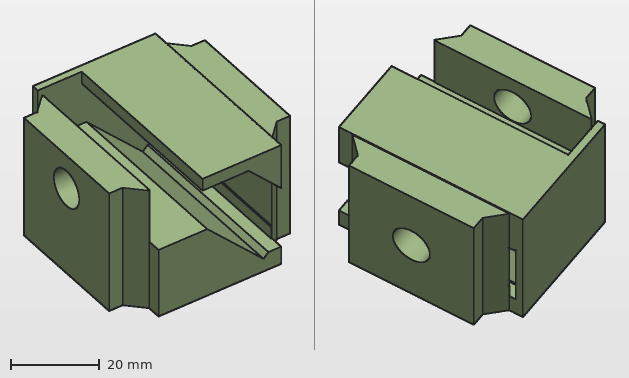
import cadquery as cq

length = 49.8
depth = 33.75
height = 34.1
half_depth = depth / 2

flange_reach = 24.9
flange_height = 33.75
flange_base_half = 21.2
flange_tip_half = 16.9
flange_chamfer = flange_base_half - flange_tip_half
flange_overlap = 0.2

end_wall = 2
sill_height = 19.1
sill_back = -3.5
ceiling = 30.75
plate_front = -4.8
channel_exit_top = 21.75
shelf_height = 5
shelf_front = 13.35

hole_diameter = 10.0
front_hole_height = 24.35
back_hole_height = flange_height / 2


def along_x(points):
    """Extrude a (Y, Z) outline from the end wall out through the +X face."""
    profile = cq.Workplane("YZ", origin=(end_wall - length / 2, 0, 0)).polyline(points).close()
    return profile.extrude(length - end_wall)


def channel():
    """Space below the 45 degree roof and above the 45 degree sill and end slopes."""
    slope_sum = sill_back + sill_height
    end_offset = shelf_front - shelf_height
    bottom_y = (slope_sum + end_offset) / 2
    roof_start = half_depth - (ceiling - channel_exit_top)
    return along_x([
        (-half_depth, sill_height),
        (sill_back, sill_height),
        (bottom_y, slope_sum - bottom_y),
        (half_depth, half_depth - end_offset),
        (half_depth, channel_exit_top),
        (roof_start, ceiling),
        (plate_front, ceiling),
        (plate_front, height),
        (-half_depth, height),
    ])


def shelf_notch():
    """Wedge between the end slope and the flat shelf at the back."""
    rise = half_depth - shelf_front
    return along_x([
        (shelf_front, shelf_height),
        (half_depth, shelf_height),
        (half_depth, shelf_height + rise),
    ])


def back_flange():
    shoulder = half_depth + flange_chamfer
    right_side = [
        (flange_base_half, half_depth - flange_overlap),
        (flange_base_half, half_depth),
        (flange_tip_half, shoulder),
        (flange_tip_half, flange_reach),
    ]
    left_side = [(-x, y) for x, y in reversed(right_side)]
    return cq.Workplane("XY").polyline(right_side + left_side).close().extrude(flange_height)


def flange_hole(side, centre_height):
    """Bore through one flange; side is -1 for the front and 1 for the back."""
    bore_length = flange_reach - half_depth + flange_overlap
    bore = cq.Workplane("XZ", origin=(0, side * flange_reach, centre_height)).circle(hole_diameter / 2)
    return bore.extrude(side * bore_length)


body = cq.Workplane("XY").box(length, depth, height, centered=(True, True, False))
body = body.cut(channel()).cut(shelf_notch())
rear = back_flange().cut(channel())
front = back_flange().mirror("XZ")
result = body.union(rear).union(front)
result = result.cut(flange_hole(-1, front_hole_height)).cut(flange_hole(1, back_hole_height))